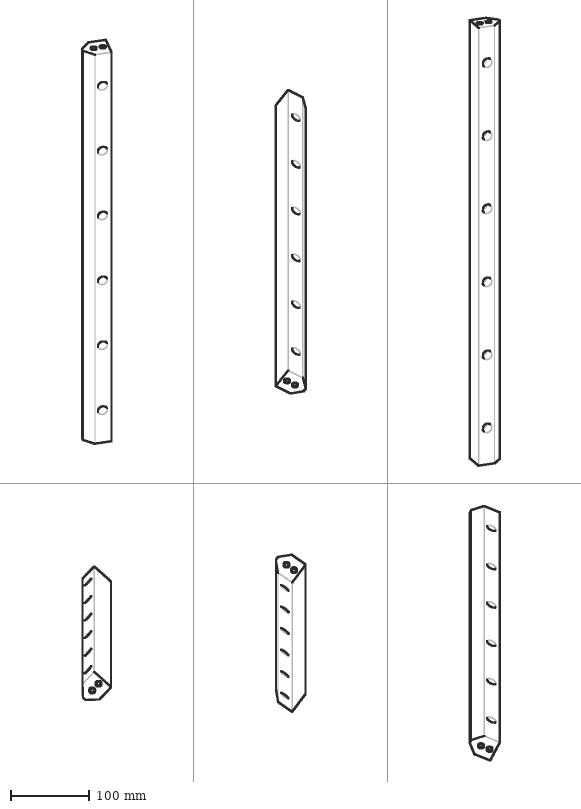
import cadquery as cq

length = 600.0
width = 30.0
depth = 35.0

tip_width = 5.0
nose_height = (width - tip_width) / 2

side_edge_radius = 0.5

cross_hole_count = 6
cross_hole_diameter = 12.0
cross_hole_from_back = 12.0
cross_hole_pitch = length / cross_hole_count

end_hole_count = 2
end_hole_diameter = 5.0
end_hole_mouth_diameter = 8.0
end_hole_depth = 24.0
end_hole_first_from_back = 8.0
end_hole_spacing = 12.0

back_y = depth / 2
tip_y = -depth / 2
shoulder_y = tip_y + nose_height


def make_bar():
    """Five-sided profile with a truncated nose, extruded along Z from the bottom end."""
    half_width = width / 2
    half_tip = tip_width / 2
    outline = [
        (-half_width, back_y),
        (-half_width, shoulder_y),
        (-half_tip, tip_y),
        (half_tip, tip_y),
        (half_width, shoulder_y),
        (half_width, back_y),
    ]
    return cq.Workplane("XY").polyline(outline).close().extrude(length)


def make_cross_holes():
    """Evenly pitched holes along X, starting half a pitch from the end."""
    y = back_y - cross_hole_from_back
    centres = [(y, (i + 0.5) * cross_hole_pitch) for i in range(cross_hole_count)]
    return (
        cq.Workplane("YZ")
        .pushPoints(centres)
        .circle(cross_hole_diameter / 2)
        .extrude(width / 2, both=True)
    )


def make_end_hole(y):
    """Cutter for one blind hole in the bottom end, with a 45 degree chamfer at its mouth."""
    radius = end_hole_diameter / 2
    mouth_radius = end_hole_mouth_diameter / 2
    half_section = [
        (0, 0),
        (mouth_radius, 0),
        (radius, mouth_radius - radius),
        (radius, end_hole_depth),
        (0, end_hole_depth),
    ]
    cutter = cq.Workplane("XZ").polyline(half_section).close().revolve(360, (0, 0), (0, 1))
    return cutter.translate((0, y, 0))


result = make_bar().cut(make_cross_holes())
result = result.faces("<X or >X").edges().fillet(side_edge_radius)
for hole_number in range(end_hole_count):
    hole_y = back_y - end_hole_first_from_back - hole_number * end_hole_spacing
    bottom_hole = make_end_hole(hole_y)
    top_hole = bottom_hole.mirror("XY", (0, 0, length / 2))
    result = result.cut(bottom_hole).cut(top_hole)